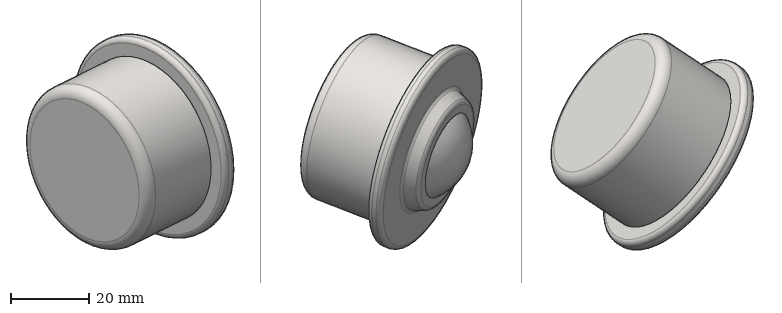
import cadquery as cq

total_length = 36.95

flange_diameter = 55.0
flange_thickness = 4.0
flange_edge_radius = 1.4

body_diameter = 45.0
body_edge_radius = 2.95

collar_base_radius = 16.65
collar_top_radius = 14.85
collar_height = 4.3
collar_top_edge_radius = 1.3
collar_root_radius = 1.0

ball_radius = 15.0
ball_tip_y = 9.75
ball_center_y = ball_tip_y - ball_radius
body_end_y = ball_tip_y - total_length


def disc(diameter, start_y, end_y):
    """Cylinder on the Y axis running from start_y up to end_y."""
    plane = cq.Workplane("XZ", origin=(0, end_y, 0))
    return plane.circle(diameter / 2).extrude(end_y - start_y)


flange = disc(flange_diameter, -flange_thickness, 0).edges().fillet(flange_edge_radius)

body = disc(body_diameter, body_end_y, -flange_thickness)
body = body.faces("<Y").edges().fillet(body_edge_radius)

collar = (
    cq.Workplane("XY")
    .polyline([(0, 0), (collar_base_radius, 0), (collar_top_radius, collar_height), (0, collar_height)])
    .close()
    .revolve(360, (0, 0, 0), (0, 1, 0))
    .faces(">Y")
    .edges()
    .fillet(collar_top_edge_radius)
)

match_tolerance = 0.005
housing = flange.union(body).union(collar)
root_edge = housing.edges("%CIRCLE").filter(
    lambda edge: abs(edge.Center().y) < match_tolerance
    and abs(edge.radius() - collar_base_radius) < match_tolerance
)
housing = housing.newObject(root_edge.vals()).fillet(collar_root_radius)

ball = cq.Workplane("XY").sphere(ball_radius).translate((0, ball_center_y, 0))

result = housing.union(ball)